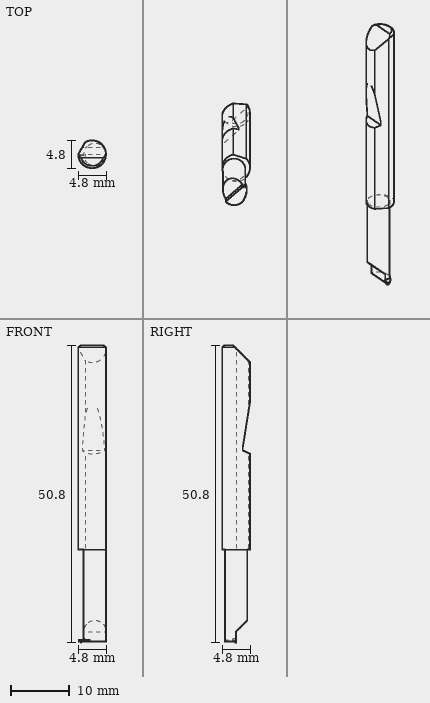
import cadquery as cq
import math

total_length = 50.8
shank_radius = 2.4
neck_length = 15.85
neck_radius = 1.95
neck_offset = shank_radius - neck_radius

end_chamfer = 0.4
bevel_start_y = -0.55

flat_start_angle = 120
flat_end_angle = 180

notch_top = 41.05
notch_floor_top = 33.35
notch_floor_bottom = 32.8
notch_bottom = 32.25
notch_floor_y = 1.15

rake_height = 1.9
hook_reach = 2.25
hook_back_x = -0.95
hook_back_y = -1.45
hook_end_x = 0.6
hook_end_y = -1.9
hook_bottom = 0.15
hook_top = 0.45
tooth_center_x = -1.9
tooth_half_width = 0.2
tooth_depth = 0.15
tooth_thickness = 0.15
undercut_depth = 0.3


def side_prism(points):
    """Prism across the whole bar from an outline of (y, z) points."""
    return cq.Workplane("YZ").polyline(points).close().extrude(shank_radius * 2, both=True)


def make_shank():
    """Shank with a chamfered end and a lengthwise flat."""
    shank = (
        cq.Workplane("XY", origin=(0, 0, neck_length))
        .circle(shank_radius)
        .extrude(total_length - neck_length)
        .faces(">Z")
        .chamfer(end_chamfer)
    )
    middle_angle = (flat_start_angle + flat_end_angle) / 2
    flat_distance = shank_radius * math.cos(math.radians((flat_end_angle - flat_start_angle) / 2))
    flat_cutter = (
        cq.Workplane("XY")
        .box(shank_radius, shank_radius * 2, total_length, centered=(False, True, False))
        .translate((flat_distance, 0, 0))
        .rotate((0, 0, 0), (0, 0, 1), middle_angle)
    )
    return shank.cut(flat_cutter)


def make_end_bevel():
    """45 degree cutter for the +Y side of the shank end."""
    bevel_run = shank_radius * 2
    return side_prism([
        (bevel_start_y, total_length),
        (bevel_start_y + bevel_run, total_length),
        (bevel_start_y + bevel_run, total_length - bevel_run),
    ])


def make_notch():
    """Cutter for the long ramp with a short, steep lower wall."""
    outside_y = shank_radius * 2
    return side_prism([
        (shank_radius, notch_top),
        (notch_floor_y, notch_floor_top),
        (notch_floor_y, notch_floor_bottom),
        (shank_radius, notch_bottom),
        (outside_y, notch_bottom),
        (outside_y, notch_top),
    ])


def make_neck():
    """Offset round neck, halved at the tip by the rake face and bevelled above the hook."""
    neck = (
        cq.Workplane("XY", origin=(neck_offset, 0, hook_bottom))
        .circle(neck_radius)
        .extrude(neck_length - hook_bottom)
    )
    run_out = shank_radius
    rake_cutter = side_prism([
        (0, 0),
        (0, rake_height),
        (run_out, rake_height + run_out),
        (run_out, 0),
    ])
    neck_left = neck_offset - neck_radius
    undercut = (
        cq.Workplane("XZ")
        .moveTo(neck_left, hook_top + undercut_depth)
        .lineTo(neck_left + undercut_depth, hook_top)
        .lineTo(neck_left, hook_top)
        .close()
        .extrude(neck_radius, both=True)
    )
    return neck.cut(rake_cutter).cut(undercut)


def make_hook():
    """Thin hook at the foot of the neck, with a curved back that merges into the neck."""
    return (
        cq.Workplane("XY", origin=(0, 0, hook_bottom))
        .moveTo(-hook_reach, 0)
        .threePointArc((hook_back_x, hook_back_y), (hook_end_x, hook_end_y))
        .lineTo(hook_end_x, 0)
        .close()
        .extrude(hook_top - hook_bottom)
    )


def make_tooth():
    """Pointed cutting edge under the hook, standing just behind the rake face."""
    return (
        cq.Workplane("XZ")
        .moveTo(tooth_center_x - tooth_half_width, hook_top)
        .lineTo(tooth_center_x - tooth_half_width, hook_bottom)
        .lineTo(tooth_center_x, hook_bottom - tooth_depth)
        .lineTo(tooth_center_x + tooth_half_width, hook_bottom)
        .lineTo(tooth_center_x + tooth_half_width, hook_top)
        .close()
        .extrude(tooth_thickness)
    )


shank = make_shank().cut(make_end_bevel()).cut(make_notch())
result = shank.union(make_neck()).union(make_hook()).union(make_tooth())